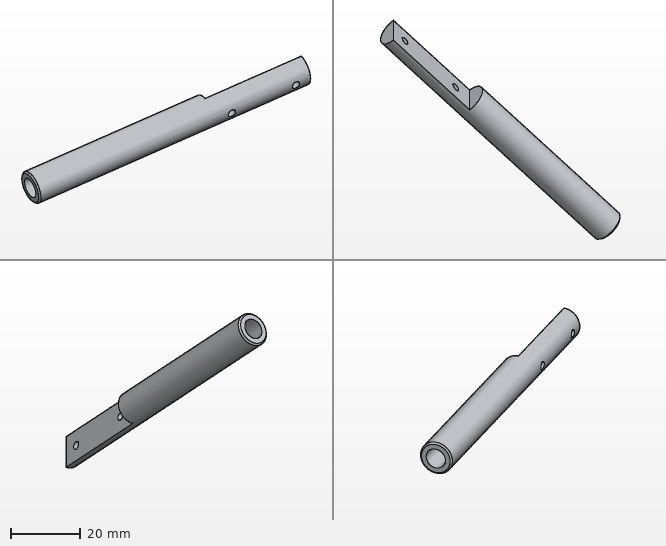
import cadquery as cq
import math

length = 93.0
rod_diameter = 10.0
tongue_length = 33.0
end_chamfer = 0.5

bore_diameter = 6.0
bore_depth = 18.6
drill_point_angle = 118.0

hole_diameter = 2.4
hole_end_distance = 5.0
hole_spacing = 21.95

front_y = -length / 2
back_y = length / 2
rod_radius = rod_diameter / 2
bore_radius = bore_diameter / 2


def make_rod():
    """Round rod with a chamfered front end."""
    rod = cq.Workplane("XZ", origin=(0, back_y, 0)).circle(rod_radius).extrude(length)
    return rod.faces("<Y").chamfer(end_chamfer)


def make_tongue_relief():
    """Block that removes the -X half of the rod at the back, leaving a half-round tongue."""
    return cq.Workplane("XY").box(
        rod_diameter, tongue_length, 2 * rod_diameter, centered=(False, False, True)
    ).translate((-rod_diameter, back_y - tongue_length, 0))


def make_bore():
    """Blind drilled bore with a conical bottom, open at the front end."""
    point_depth = bore_radius / math.tan(math.radians(drill_point_angle / 2))
    bore_end_y = front_y + bore_depth
    return (
        cq.Workplane("XY")
        .moveTo(0, front_y)
        .lineTo(bore_radius, front_y)
        .lineTo(bore_radius, bore_end_y)
        .lineTo(0, bore_end_y + point_depth)
        .close()
        .revolve(360, (0, 0, 0), (0, 1, 0))
    )


def make_cross_holes():
    """Two holes through the flat of the tongue, along X."""
    last_hole_y = back_y - hole_end_distance
    return (
        cq.Workplane("YZ")
        .pushPoints([(last_hole_y - hole_spacing, 0), (last_hole_y, 0)])
        .circle(hole_diameter / 2)
        .extrude(rod_diameter)
    )


handle = make_rod().cut(make_tongue_relief()).cut(make_bore()).cut(make_cross_holes())

result = cq.Compound.makeCompound([handle.val()])